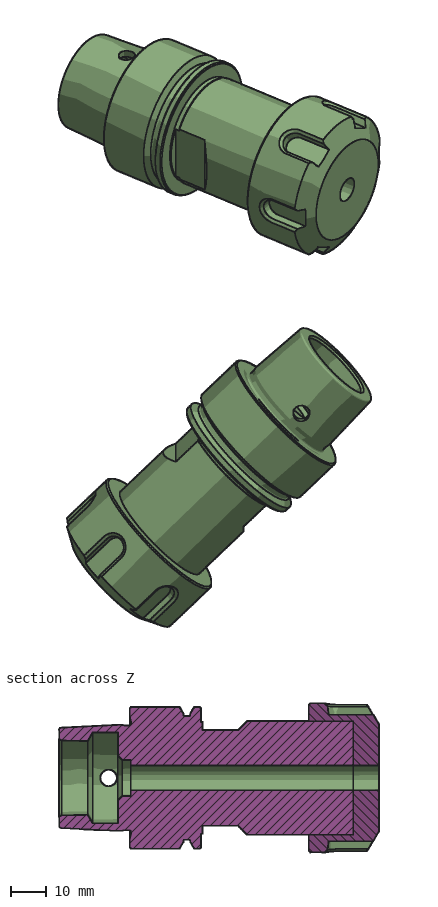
import cadquery as cq
import math


taper_end_x = 17.4
relief_start_x = 18.45
face_x = 19.9
groove_start_x = 33.9
groove_end_x = 38.0
flange_end_x = 40.0
flat_start_x = 40.4
neck_end_x = 41.6
flat_end_x = 50.4
nut_start_x = 70.2
spigot_end_x = 82.8
cone_start_x = 86.6
nut_end_x = 90.0

mouth_radius = 28.35 / 2
mouth_round = 0.6
taper_slope = 1 / 20
relief_radius = 29.6 / 2
root_fillet = 0.7
face_recess_radius = 34.0 / 2
flange_radius = 40.0 / 2
flange_chamfer = 0.4
groove_floor_radius = 17.5
groove_floor_fillet = 0.4
groove_wall_depth = 1.9
groove_wall_angle = 30
groove_wall_run = groove_wall_depth * math.tan(math.radians(groove_wall_angle))
neck_radius = 31.5 / 2
shaft_radius = 32.0 / 2
flat_distance = 13.5

bore_mouth_radius = 21.8 / 2
bore_chamfer_depth = 0.7
bore_front_radius = 21.0 / 2
lip_radius = 20.7 / 2
lip_x = 8.1
chamber_radius = 25.5 / 2
chamber_shoulder_angle = 60
chamber_run = (chamber_radius - lip_radius) / math.tan(math.radians(chamber_shoulder_angle))
chamber_end_x = 16.6
countersink_radius = 12.5 / 2
pocket_radius = 10.1 / 2
pocket_depth = 3.6
through_radius = 6.9 / 2
cross_hole_diameter = 4.6
cross_hole_x = 13.95

nut_radius = 42.0 / 2
nut_chamfer = 0.45
nut_cone_angle = 60
nut_face_radius = nut_radius - (nut_end_x - cone_start_x) * math.tan(math.radians(nut_cone_angle))
slot_count = 6
slot_width = 5.85
slot_draft = 6
slot_floor = 17.8
slot_chamfer = 0.8
slot_centre_x = 78.75

tolerance = 0.01


def revolve_about_x(profile):
    return profile.close().revolve(360, (0, 0, 0), (1, 0, 0))


def holder_outside():
    taper_end_radius = mouth_radius + (taper_end_x - mouth_round) * taper_slope
    fillet_start_x = face_x - root_fillet / 2
    fillet_drop = root_fillet * math.sqrt(0.5)
    groove_wall_radius = flange_radius - groove_wall_depth
    groove_fillet_top = groove_floor_radius + groove_floor_fillet
    channel_start_x = groove_start_x + groove_wall_run
    channel_end_x = groove_end_x - groove_wall_run
    profile = (
        cq.Workplane("XY")
        .lineTo(0, mouth_radius - mouth_round)
        .radiusArc((mouth_round, mouth_radius), mouth_round)
        .lineTo(taper_end_x, taper_end_radius)
        .lineTo(relief_start_x, relief_radius)
        .lineTo(fillet_start_x, relief_radius)
        .threePointArc(
            (fillet_start_x + fillet_drop, relief_radius + root_fillet - fillet_drop),
            (fillet_start_x + root_fillet, relief_radius + root_fillet),
        )
        .lineTo(face_x, face_recess_radius)
        .lineTo(face_x, flange_radius - flange_chamfer)
        .lineTo(face_x + flange_chamfer, flange_radius)
        .lineTo(groove_start_x, flange_radius)
        .lineTo(channel_start_x, groove_wall_radius)
        .lineTo(channel_start_x, groove_fillet_top)
        .radiusArc((channel_start_x + groove_floor_fillet, groove_floor_radius), -groove_floor_fillet)
        .lineTo(channel_end_x - groove_floor_fillet, groove_floor_radius)
        .radiusArc((channel_end_x, groove_fillet_top), -groove_floor_fillet)
        .lineTo(channel_end_x, groove_wall_radius)
        .lineTo(groove_end_x, flange_radius)
        .lineTo(flange_end_x - flange_chamfer, flange_radius)
        .lineTo(flange_end_x, flange_radius - flange_chamfer)
        .lineTo(flange_end_x, neck_radius)
        .lineTo(neck_end_x, neck_radius)
        .lineTo(neck_end_x, shaft_radius)
        .lineTo(spigot_end_x, shaft_radius)
        .lineTo(spigot_end_x, 0)
    )
    return revolve_about_x(profile)


def holder_bore():
    """Slightly narrowing mouth, wider clamping chamber behind its lip, then the through bore."""
    pocket_end_x = chamber_end_x + pocket_depth
    profile = (
        cq.Workplane("XY")
        .lineTo(0, bore_mouth_radius)
        .lineTo(bore_chamfer_depth, bore_front_radius)
        .lineTo(lip_x, lip_radius)
        .lineTo(lip_x + chamber_run, chamber_radius)
        .lineTo(chamber_end_x, chamber_radius)
        .lineTo(chamber_end_x, countersink_radius)
        .lineTo(chamber_end_x + countersink_radius - pocket_radius, pocket_radius)
        .lineTo(pocket_end_x, pocket_radius)
        .lineTo(pocket_end_x, through_radius)
        .lineTo(spigot_end_x, through_radius)
        .lineTo(spigot_end_x, 0)
    )
    return revolve_about_x(profile)


def cross_hole():
    return (
        cq.Workplane("XY")
        .center(cross_hole_x, 0)
        .circle(cross_hole_diameter / 2)
        .extrude(flange_radius, both=True)
    )


def wrench_flat():
    """Cutter on the +Y side, with a 45 degree run-out at its front end."""
    depth = flange_radius - flat_distance
    return (
        cq.Workplane("XY")
        .moveTo(flat_start_x, flat_distance)
        .lineTo(flat_end_x, flat_distance)
        .lineTo(flat_end_x + depth, flange_radius)
        .lineTo(flat_start_x, flange_radius)
        .close()
        .extrude(flange_radius, both=True)
    )


def make_holder():
    body = holder_outside().cut(holder_bore()).cut(cross_hole())
    flat = wrench_flat()
    return body.cut(flat).cut(flat.mirror("XZ"))


def nut_blank():
    profile = (
        cq.Workplane("XY")
        .moveTo(nut_start_x, shaft_radius)
        .lineTo(nut_start_x, nut_radius - nut_chamfer)
        .lineTo(nut_start_x + nut_chamfer, nut_radius)
        .lineTo(nut_end_x, nut_radius)
        .lineTo(nut_end_x, through_radius)
        .lineTo(spigot_end_x, through_radius)
        .lineTo(spigot_end_x, shaft_radius)
    )
    return revolve_about_x(profile)


def front_cone_cutter():
    profile = (
        cq.Workplane("XY")
        .moveTo(cone_start_x, nut_radius)
        .lineTo(nut_end_x, nut_face_radius)
        .lineTo(nut_end_x, nut_radius)
    )
    return revolve_about_x(profile)


def spanner_slot():
    """Slot cutter above the axis, round at the rear and running out past the front of the nut."""
    half_width = slot_width / 2
    open_end_x = nut_end_x + slot_width
    return (
        cq.Workplane("XY", origin=(0, 0, slot_floor))
        .moveTo(open_end_x, half_width)
        .lineTo(slot_centre_x, half_width)
        .threePointArc((slot_centre_x - half_width, 0), (slot_centre_x, -half_width))
        .lineTo(open_end_x, -half_width)
        .close()
        .extrude(nut_radius - slot_floor, taper=-slot_draft)
    )


def is_slot_rim(edge):
    """True for an edge on the outer cylinder that lies between the nut's two end circles."""
    middle = edge.positionAt(0.5)
    on_cylinder = abs(math.hypot(middle.y, middle.z) - nut_radius) < tolerance
    between_ends = nut_start_x + nut_chamfer + tolerance < middle.x < nut_end_x - tolerance
    return on_cylinder and between_ends


def make_nut():
    nut = nut_blank()
    slot = spanner_slot()
    pitch = 360 / slot_count
    for index in range(slot_count):
        nut = nut.cut(slot.rotate((0, 0, 0), (1, 0, 0), pitch * (index + 0.5)))
    nut = nut.edges().filter(is_slot_rim).chamfer(slot_chamfer)
    return nut.cut(front_cone_cutter())


holder = make_holder()
nut = make_nut()

result = cq.Compound.makeCompound([holder.val(), nut.val()])